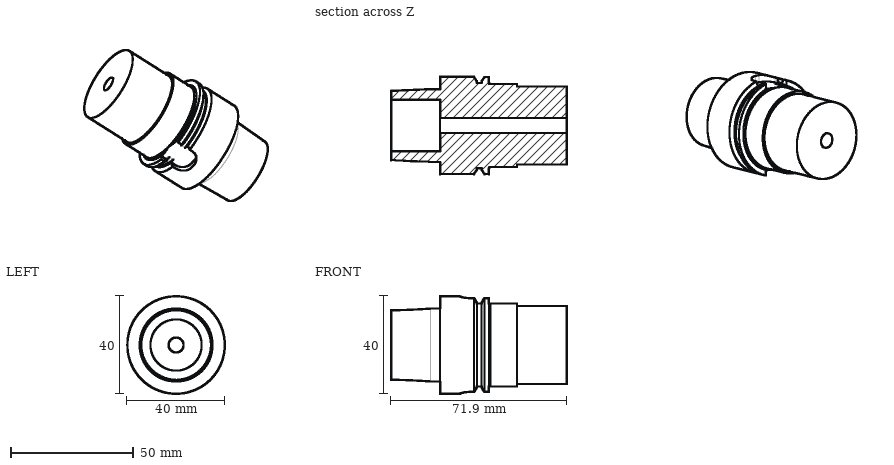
import cadquery as cq
import math

length = 71.9
bore_radius = 10.5
bore_depth = 20.0
through_radius = 3.0

nose_tip_radius = 14.25
nose_radius = 14.95
taper_end = 16.0

flange_start = 20.0
flange_end = 40.0
flange_radius = 20.0
groove_start = 35.0
groove_floor_width = 2.0
groove_edge_radius = 18.25
groove_floor_radius = 17.5
groove_flank = 1.1

collar_radius = 17.05
collar_end = 51.5
shank_radius = 16.0
root_fillet = 0.65

keyway_width = 11.1
keyway_start = 28.05
keyway_corner_radius = 4.5
keyway_floor = collar_radius


def make_body():
    """Revolve the stepped outer profile, including the groove."""
    groove_end = groove_start + groove_floor_width
    flange_outline = [
        (0, 0),
        (0, nose_tip_radius),
        (taper_end, nose_radius),
        (flange_start, nose_radius),
        (flange_start, flange_radius),
        (groove_start - groove_flank, flange_radius),
        (groove_start, groove_edge_radius),
        (groove_start, groove_floor_radius),
        (groove_end, groove_floor_radius),
        (groove_end, groove_edge_radius),
        (groove_end + groove_flank, flange_radius),
        (flange_end, flange_radius),
        (flange_end, collar_radius + root_fillet),
    ]
    fillet_inset = root_fillet * (1 - math.sqrt(0.5))
    fillet_middle = (flange_end + fillet_inset, collar_radius + fillet_inset)
    fillet_end = (flange_end + root_fillet, collar_radius)
    return (
        cq.Workplane("XY")
        .polyline(flange_outline)
        .threePointArc(fillet_middle, fillet_end)
        .lineTo(collar_end, collar_radius)
        .lineTo(collar_end, shank_radius)
        .lineTo(length, shank_radius)
        .lineTo(length, 0)
        .close()
        .revolve(360, (0, 0, 0), (1, 0, 0))
    )


def make_bore(radius, depth):
    """Cylinder along X, starting at the nose face."""
    return cq.Workplane("YZ").circle(radius).extrude(depth)


def make_keyway():
    """Flat-bottomed keyway above the flange, rounded at its closed end and open towards the shank."""
    keyway_end = flange_end + root_fillet
    keyway_height = flange_radius - keyway_floor
    return (
        cq.Workplane("XY", origin=((keyway_start + keyway_end) / 2, 0, keyway_floor))
        .rect(keyway_end - keyway_start, keyway_width)
        .extrude(keyway_height)
        .edges("|Z and <X")
        .fillet(keyway_corner_radius)
    )


keyway = make_keyway()
result = (
    make_body()
    .cut(make_bore(bore_radius, bore_depth))
    .cut(make_bore(through_radius, length))
    .cut(keyway)
    .cut(keyway.mirror("XY"))
)